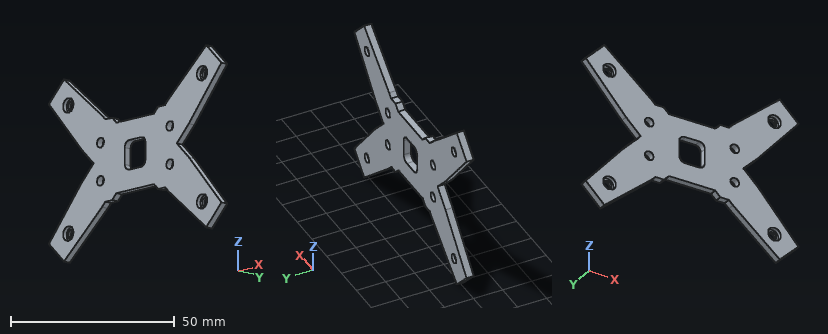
import cadquery as cq

length = 75.92
height = 57.33
thickness = 2.5

arm_end_offset = 6.7
side_notch_x = 18.35
side_notch_rise = 5.3

waist_half_height = 11.1
waist_half_length = 8.2
shoulder_half_height = 12.95
shoulder_length = 3.0
arm_root_rise = 1.4

window_width = 9.0
window_height = 9.3
window_corner_radius = 2.0

hole_diameter = 3.0
body_hole_spacing_x = 30.5
body_hole_spacing_z = 12.0
arm_hole_spacing_x = 58.8
arm_hole_spacing_z = 40.3
counterbore_diameter = 4.5
counterbore_depth = 1.5


def quarter_outline():
    """Corner points of the +X +Z quarter, from the side notch to the waist."""
    tip_x = length / 2
    tip_z = height / 2
    shoulder_inner_x = waist_half_length + shoulder_half_height - waist_half_height
    shoulder_outer_x = shoulder_inner_x + shoulder_length
    return [
        (side_notch_x, 0),
        (side_notch_x + side_notch_rise, side_notch_rise),
        (tip_x, tip_z - arm_end_offset),
        (tip_x - arm_end_offset, tip_z),
        (shoulder_outer_x + arm_root_rise, shoulder_half_height + arm_root_rise),
        (shoulder_outer_x, shoulder_half_height),
        (shoulder_inner_x, shoulder_half_height),
        (waist_half_length, waist_half_height),
    ]


def plate_outline():
    """Full outline, mirroring the quarter about X = 0 and then about Z = 0."""
    quarter = quarter_outline()
    upper = quarter + [(-x, z) for x, z in reversed(quarter)]
    lower = [(x, -z) for x, z in reversed(upper[1:-1])]
    return upper + lower


def front_plane():
    """Sketch plane on the -Y face: local x is X, local y is Z, normal is -Y."""
    return cq.Workplane("XZ", origin=(0, -thickness / 2, 0))


def make_plate():
    return front_plane().polyline(plate_outline()).close().extrude(-thickness)


def make_window():
    return (
        front_plane()
        .rect(window_width, window_height)
        .extrude(-thickness)
        .edges("|Y")
        .fillet(window_corner_radius)
    )


def make_hole_pattern(spacing_x, spacing_z, diameter, depth):
    """Four cylinders on the corners of a rectangle, sunk from the -Y face."""
    return (
        front_plane()
        .rect(spacing_x, spacing_z, forConstruction=True)
        .vertices()
        .circle(diameter / 2)
        .extrude(-depth)
    )


body_holes = make_hole_pattern(body_hole_spacing_x, body_hole_spacing_z, hole_diameter, thickness)
arm_holes = make_hole_pattern(arm_hole_spacing_x, arm_hole_spacing_z, hole_diameter, thickness)
counterbores = make_hole_pattern(
    arm_hole_spacing_x, arm_hole_spacing_z, counterbore_diameter, counterbore_depth
)

result = make_plate().cut(make_window()).cut(body_holes).cut(arm_holes).cut(counterbores)